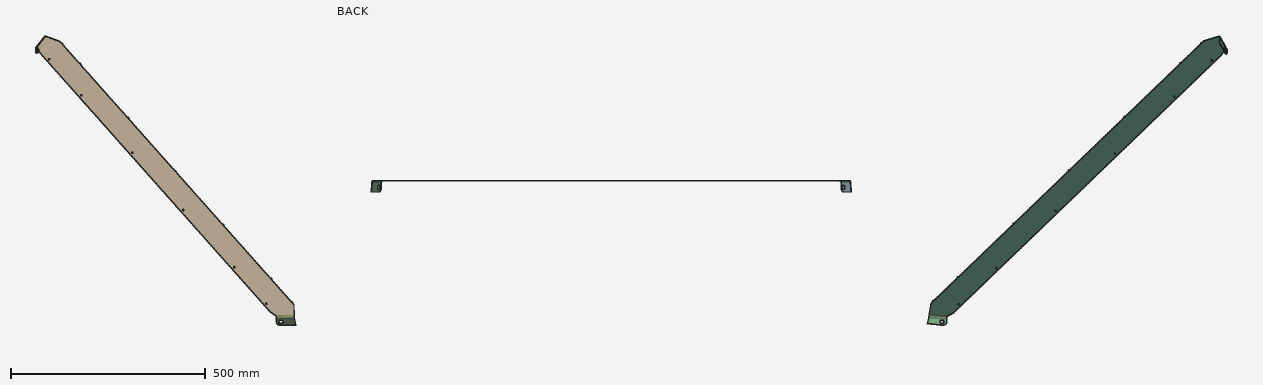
import cadquery as cq
import math

length = 1235.0
depth = 68.0
sheet = 2.0

tab_width = 4.0
tab_reach = 1.9
end_tab_x = 565.0
tab_pitch = 235.0
tab_row_shift = -7.0
tab_count = 5
hole_diameter = 4.0
hole_inset = 8.0
end_hole_x = 535.0
hole_pitch = 251.0
hole_count = 4

flange_angle = 60.0
flange_width = 51.0
flange_tip_y = 12.0
flange_flare = 4.0
bend_inner_radius = 3.3
bend_outer_radius = bend_inner_radius + sheet
web_height = 25.0
height = bend_outer_radius + web_height
flange_corner_radius = 12.0
flange_hole_diameter = 11.0

front_edge_y = -depth / 2
back_edge_y = depth / 2 - tab_reach
front_corner_x = 565.0


def left_end_point(along, inward):
    """XY of a point measured along the left flange from its tip and inward from its outer face."""
    angle = math.radians(flange_angle)
    x = -length / 2 + along * math.cos(angle) + inward * math.sin(angle)
    y = flange_tip_y - along * math.sin(angle) + inward * math.cos(angle)
    return x, y


def row_positions(count, pitch):
    """X positions of an evenly spaced row centred on X = 0."""
    return [(i - (count - 1) / 2) * pitch for i in range(count)]


def make_plate():
    """Flat strip whose slanted ends stop where the bends begin."""
    bend_back = left_end_point(flange_flare, bend_outer_radius)
    bend_front = left_end_point(flange_width, bend_outer_radius)
    cut_length = (back_edge_y - bend_back[1]) / math.cos(math.radians(flange_angle))
    back_corner = left_end_point(flange_flare, bend_outer_radius + cut_length)
    left_side = [back_corner, bend_back, bend_front, (-front_corner_x, front_edge_y)]
    right_side = [(-x, y) for x, y in reversed(left_side)]
    return cq.Workplane("XY").polyline(left_side + right_side).close().extrude(-sheet)


def make_tabs():
    """Small tabs standing out from the back edge."""
    row = [x + tab_row_shift for x in row_positions(tab_count, tab_pitch)]
    centres = [(x, back_edge_y) for x in [-end_tab_x] + row + [end_tab_x]]
    return cq.Workplane("XY").pushPoints(centres).rect(tab_width, 2 * tab_reach).extrude(-sheet)


def make_hole_cutters():
    """Row of small holes along the front edge."""
    hole_y = front_edge_y + hole_inset
    row = row_positions(hole_count, hole_pitch)
    centres = [(x, hole_y) for x in [-end_hole_x] + row + [end_hole_x]]
    return cq.Workplane("XY").pushPoints(centres).circle(hole_diameter / 2).extrude(-sheet)


def make_left_flange():
    """Quarter bend and hanging flange, built with its width along X and then turned into place."""
    diagonal = math.sqrt(0.5)
    arc_centre = (bend_outer_radius, -bend_outer_radius)

    def on_bend(radius):
        return arc_centre[0] - radius * diagonal, arc_centre[1] + radius * diagonal

    bend = (
        cq.Workplane("YZ", origin=(flange_flare, 0, 0))
        .moveTo(bend_outer_radius, 0)
        .threePointArc(on_bend(bend_outer_radius), (0, -bend_outer_radius))
        .lineTo(sheet, -bend_outer_radius)
        .threePointArc(on_bend(bend_inner_radius), (bend_outer_radius, -sheet))
        .close()
        .extrude(flange_width - flange_flare)
    )
    round_x = flange_width - flange_corner_radius
    round_z = flange_corner_radius - height
    web = (
        cq.Workplane("XZ")
        .moveTo(flange_flare, -bend_outer_radius)
        .lineTo(0, -height)
        .lineTo(round_x, -height)
        .threePointArc(
            (round_x + flange_corner_radius * diagonal, round_z - flange_corner_radius * diagonal),
            (flange_width, round_z),
        )
        .lineTo(flange_width, -bend_outer_radius)
        .close()
        .extrude(-sheet)
    )
    hole = (
        cq.Workplane("XZ")
        .center(round_x, round_z)
        .circle(flange_hole_diameter / 2)
        .extrude(-sheet)
    )
    flange = bend.union(web).cut(hole)
    return flange.rotate((0, 0, 0), (0, 0, 1), -flange_angle).translate((-length / 2, flange_tip_y, 0))


left_flange = make_left_flange()
right_flange = left_flange.mirror("YZ")

result = (
    make_plate()
    .union(make_tabs())
    .cut(make_hole_cutters())
    .union(left_flange)
    .union(right_flange)
)